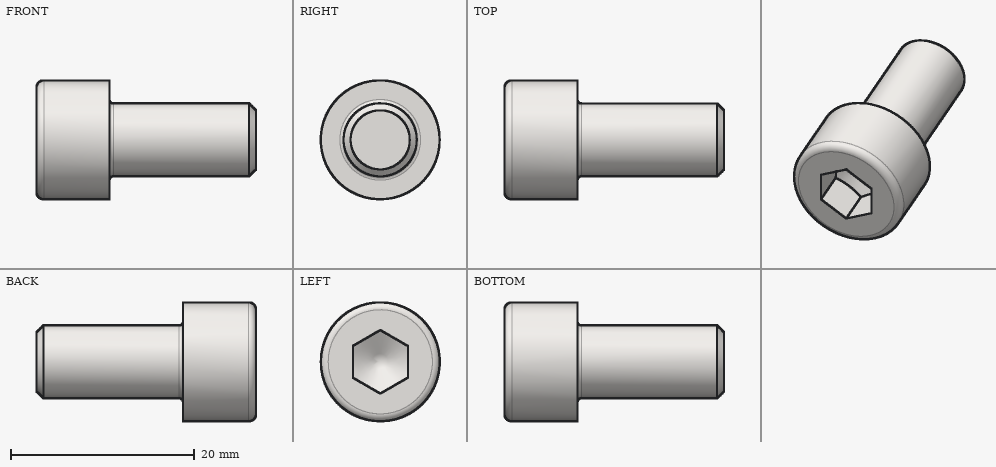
import cadquery as cq
import math

total_length = 24.0
head_diameter = 13.0
head_length = 8.0
head_edge_radius = 0.82
shank_diameter = 8.0
neck_fillet_radius = 0.4
tip_chamfer = 0.77
hex_across_flats = 6.0
socket_depth = 4.0
socket_cone_angle = 120.0

hex_across_corners = hex_across_flats / math.cos(math.pi / 6)
head_radius = head_diameter / 2
shank_radius = shank_diameter / 2


def make_body():
    """Revolve the half profile of head and shank about the X axis."""
    arc_inset = 1 - math.sqrt(0.5)
    head_inset = head_edge_radius * arc_inset
    neck_inset = neck_fillet_radius * arc_inset
    profile = (
        cq.Workplane("XY")
        .lineTo(0, head_radius - head_edge_radius)
        .threePointArc((head_inset, head_radius - head_inset), (head_edge_radius, head_radius))
        .lineTo(head_length, head_radius)
        .lineTo(head_length, shank_radius + neck_fillet_radius)
        .threePointArc(
            (head_length + neck_inset, shank_radius + neck_inset),
            (head_length + neck_fillet_radius, shank_radius),
        )
        .lineTo(total_length - tip_chamfer, shank_radius)
        .lineTo(total_length, shank_radius - tip_chamfer)
        .lineTo(total_length, 0)
        .close()
    )
    return profile.revolve(360, (0, 0, 0), (1, 0, 0))


def make_socket():
    """Hexagonal socket with corners on +Z and -Z and a conical bottom."""
    cone_radius = hex_across_corners / 2
    cone_depth = cone_radius / math.tan(math.radians(socket_cone_angle / 2))
    tip_x = socket_depth + cone_depth
    hexagon = (
        cq.Workplane("YZ")
        .transformed(rotate=(0, 0, 90))
        .polygon(6, hex_across_corners)
        .extrude(tip_x)
    )
    drill_envelope = (
        cq.Workplane("XY")
        .lineTo(0, cone_radius)
        .lineTo(socket_depth, cone_radius)
        .lineTo(tip_x, 0)
        .close()
        .revolve(360, (0, 0, 0), (1, 0, 0))
    )
    return hexagon.intersect(drill_envelope)


result = make_body().cut(make_socket())